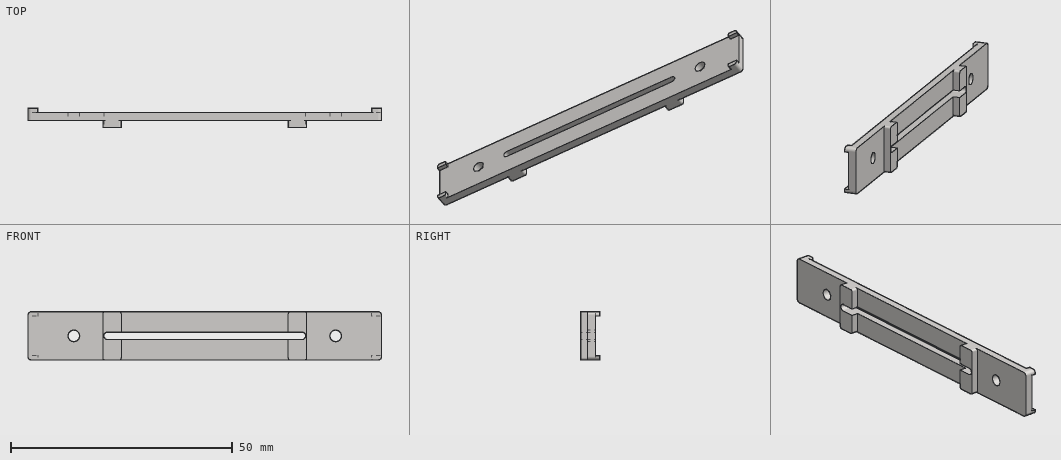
import cadquery as cq

length = 79.9
height = 10.95
plate_thickness = 1.8
plate_corner_radius = 0.8

pad_width = 4.15
pad_rise = 1.6
pad_outer_edge = 23.0
pad_corner_radius = 0.5

foot_length = 2.2
foot_height = 1.0
foot_rise = 0.95
foot_end_radius = 0.3

slot_length = 45.55
slot_width = 1.6
hole_diameter = 2.55
hole_offset = 29.6

total_depth = pad_rise + plate_thickness + foot_rise
front_y = -total_depth / 2
plate_front_y = front_y + pad_rise
plate_back_y = plate_front_y + plate_thickness


def rounded_block(width, depth, corner_radius, center_x, start_y):
    """Full-height block with rounded corners, growing toward +Y from start_y."""
    return (
        cq.Workplane("XY")
        .box(width, depth, height)
        .edges("|Y")
        .fillet(corner_radius)
        .translate((center_x, start_y + depth / 2, 0))
    )


def corner_foot(side_x, side_z):
    """Foot with its outer corner on the plate corner and its inner end rounded at the long edge."""
    outer_x = length / 2
    outer_z = height / 2
    inner_x = outer_x - foot_length
    inner_z = outer_z - foot_height
    foot = (
        cq.Workplane("XY")
        .box(foot_length, foot_rise, foot_height)
        .translate(((inner_x + outer_x) / 2, plate_back_y + foot_rise / 2, (inner_z + outer_z) / 2))
        .edges("|Y and >X and >Z")
        .fillet(plate_corner_radius)
        .edges("|Y and <X and >Z")
        .fillet(foot_end_radius)
    )
    if side_x < 0:
        foot = foot.mirror("YZ")
    if side_z < 0:
        foot = foot.mirror("XY")
    return foot


def through_cutter(sketch):
    """Extrude an XZ sketch right through the part along Y."""
    return sketch.extrude(total_depth, both=True)


result = rounded_block(length, plate_thickness, plate_corner_radius, 0, plate_front_y)

pad_center = pad_outer_edge - pad_width / 2
for side_x in (-1, 1):
    result = result.union(
        rounded_block(pad_width, pad_rise, pad_corner_radius, side_x * pad_center, front_y)
    )
    for side_z in (-1, 1):
        result = result.union(corner_foot(side_x, side_z))

slot = through_cutter(cq.Workplane("XZ").slot2D(slot_length, slot_width))
holes = through_cutter(
    cq.Workplane("XZ")
    .pushPoints([(-hole_offset, 0), (hole_offset, 0)])
    .circle(hole_diameter / 2)
)
result = result.cut(slot).cut(holes)